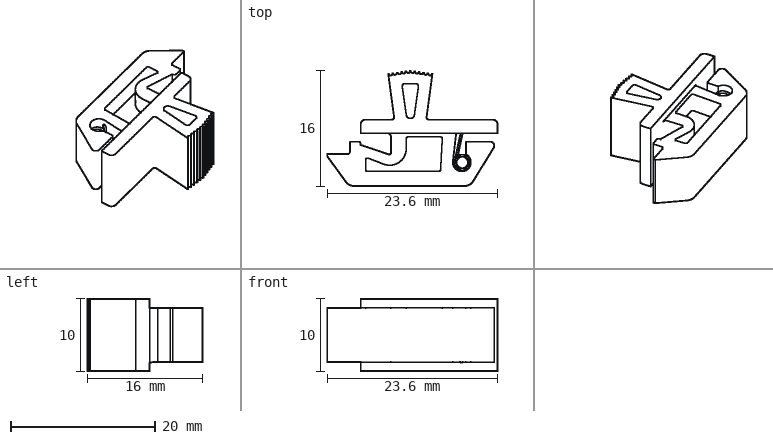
import cadquery as cq
import math

total_length = 23.65
total_depth = 16.0
plate_thickness = 10.0
base_thickness = 7.5

plate_left = 4.64
plate_front = 7.33
plate_back = 9.25
plate_corner_radius = 0.7

shoulder_y = 4.47
nose_bottom_y = 4.16
step_x = 3.15
step_top_y = 6.2
ramp_start_y = 5.75
ramp_end_y = 4.33
neck_x = 8.85
foot_left_x = 3.03
foot_right_x = 19.85
foot_radius = 1.5
heel_radius = 0.6
root_radius = 0.47
soft_radius = 0.3
sharp_radius = 0.21
root_overlap = 0.7

slot_x = 18.68
slot_y = 3.3
slot_radius = 1.23
slot_right_x = 19.23
slot_wall_angle = math.radians(6.6)

pocket_depth = 2.84
pocket_left = 5.35
pocket_bottom = 2.05
pocket_top = 6.83
pocket_step_x = 10.97
pocket_right_bottom = 15.73
pocket_right_top = 15.99
pocket_slope_start_y = 4.02
pocket_slope = math.radians(21)
pocket_radius = 0.25
pocket_bend_radius = 2.3

head_x = 11.55
head_root_half_width = 2.22
head_side_angle = math.radians(7.7)
ridge_slope_angle = math.radians(8.0)
gaps_per_slope = 5
tooth_pitch = 0.61
gap_radius = 0.24
gap_inset = 0.02

recess_top = 14.24
recess_half_width = 1.18
recess_side_angle = math.radians(8.1)
recess_top_radius = 0.38
recess_tip_radius = 0.57

coil_x = 18.75
coil_y = 3.29
coil_radius = 0.95
wire_radius = 0.154
coil_turns = 6
coil_top_z = 3.15
coil_bottom_z = -3.03
leg_angle = 168


def rounded_outline(corners):
    """Closed outline through (x, y, radius) corners, each rounded by a tangent arc."""
    points = [cq.Vector(x, y) for x, y, _ in corners]
    start = (points[-1] + points[0]) * 0.5
    outline = cq.Workplane("XY").moveTo(start.x, start.y)
    for i, (_, _, radius) in enumerate(corners):
        corner = points[i]
        to_last = (points[i - 1] - corner).normalized()
        to_next = (points[(i + 1) % len(points)] - corner).normalized()
        half_angle = to_last.getAngle(to_next) / 2
        setback = radius / math.tan(half_angle)
        arc_start = corner + to_last * setback
        outline = outline.lineTo(arc_start.x, arc_start.y)
        if radius > 0:
            bisector = (to_last + to_next).normalized()
            arc_middle = corner + bisector * (radius / math.sin(half_angle) - radius)
            arc_end = corner + to_next * setback
            outline = outline.threePointArc((arc_middle.x, arc_middle.y), (arc_end.x, arc_end.y))
    return outline.close()


def centred_slab(corners, thickness):
    return rounded_outline(corners).extrude(thickness / 2, both=True)


def top_pocket(corners, top_z, depth):
    return rounded_outline(corners).extrude(depth).translate((0, 0, top_z - depth))


def make_plate():
    return centred_slab(
        [
            (plate_left, plate_front, 0),
            (total_length, plate_front, 0),
            (total_length, plate_back, plate_corner_radius),
            (plate_left, plate_back, plate_corner_radius),
        ],
        plate_thickness,
    )


def make_base():
    wall_start_x = slot_x - slot_radius * math.cos(slot_wall_angle)
    wall_start_y = slot_y + slot_radius * math.sin(slot_wall_angle)
    wall_end_x = wall_start_x + (plate_front - wall_start_y) * math.tan(slot_wall_angle)
    root_y = plate_front + root_overlap
    base = centred_slab(
        [
            (0, shoulder_y, 0),
            (0, nose_bottom_y, 0),
            (foot_left_x, 0, foot_radius),
            (foot_right_x, 0, foot_radius),
            (total_length, step_top_y, heel_radius),
            (slot_right_x, step_top_y, sharp_radius),
            (slot_right_x, slot_y, 0),
            (wall_start_x, wall_start_y, 0),
            (wall_end_x, plate_front, sharp_radius),
            (wall_end_x + root_overlap, plate_front, 0),
            (wall_end_x + root_overlap, root_y, 0),
            (neck_x - root_overlap, root_y, 0),
            (neck_x - root_overlap, plate_front, 0),
            (neck_x, plate_front, root_radius),
            (neck_x, ramp_end_y, sharp_radius),
            (plate_left, ramp_start_y, 0),
            (plate_left, step_top_y, soft_radius),
            (step_x, step_top_y, sharp_radius),
            (step_x, shoulder_y, soft_radius),
        ],
        base_thickness,
    )
    slot_end = (
        cq.Workplane("XY").center(slot_x, slot_y).circle(slot_radius).extrude(base_thickness / 2, both=True)
    )
    return base.cut(slot_end).cut(make_base_pocket())


def make_base_pocket():
    bend_y = pocket_slope_start_y - (pocket_step_x - pocket_left) * math.tan(pocket_slope)
    return top_pocket(
        [
            (pocket_left, pocket_bottom, pocket_radius),
            (pocket_right_bottom, pocket_bottom, pocket_radius),
            (pocket_right_top, pocket_top, pocket_radius),
            (pocket_step_x, pocket_top, pocket_radius),
            (pocket_step_x, bend_y, pocket_bend_radius),
            (pocket_left, pocket_slope_start_y, pocket_radius),
        ],
        base_thickness / 2,
        pocket_depth,
    )


def make_head():
    side_slope = math.tan(head_side_angle)
    ridge_slope = math.tan(ridge_slope_angle)
    ridge_height = total_depth - plate_back
    top_half_width = (head_root_half_width + ridge_height * side_slope) / (1 + ridge_slope * side_slope)
    top_y = total_depth - top_half_width * ridge_slope
    flare_half_width = head_root_half_width + root_overlap
    right_side = [
        (flare_half_width, plate_back - root_overlap, 0),
        (flare_half_width, plate_back, 0),
        (head_root_half_width, plate_back, soft_radius),
        (top_half_width, top_y, 0),
    ]
    left_side = [(-x, y, radius) for x, y, radius in reversed(right_side)]
    profile = right_side + [(0, total_depth, 0)] + left_side
    head = centred_slab([(head_x + x, y, radius) for x, y, radius in profile], plate_thickness)
    return head.cut(make_tooth_gaps()).cut(make_recess())


def make_tooth_gaps():
    centers = []
    for i in range(gaps_per_slope):
        along_slope = (i + 0.5) * tooth_pitch
        x_offset = along_slope * math.cos(ridge_slope_angle)
        y = total_depth - gap_inset - along_slope * math.sin(ridge_slope_angle)
        centers += [(head_x - x_offset, y), (head_x + x_offset, y)]
    return cq.Workplane("XY").pushPoints(centers).circle(gap_radius).extrude(plate_thickness / 2, both=True)


def make_recess():
    tip_y = recess_top - recess_half_width / math.tan(recess_side_angle)
    return top_pocket(
        [
            (head_x, tip_y, recess_tip_radius),
            (head_x + recess_half_width, recess_top, recess_top_radius),
            (head_x - recess_half_width, recess_top, recess_top_radius),
        ],
        plate_thickness / 2,
        pocket_depth,
    )


def make_clamp():
    return make_plate().union(make_base()).union(make_head())


def make_spring():
    height = coil_top_z - coil_bottom_z
    pitch = height / coil_turns
    helix = cq.Wire.makeHelix(pitch, height, coil_radius)
    start = cq.Vector(coil_radius, 0, 0)
    leg_direction = cq.Vector(0, -2 * math.pi * coil_radius, -pitch).normalized()
    wire_end = cq.Plane(origin=start, normal=leg_direction)
    coil = cq.Workplane(wire_end).circle(wire_radius).sweep(cq.Workplane(helix), isFrenet=True)
    leg = cq.Workplane(wire_end).circle(wire_radius).extrude(plate_front)
    spring = coil.union(leg)
    spring = spring.rotate((0, 0, 0), (0, 0, 1), leg_angle).translate((coil_x, coil_y, coil_bottom_z))
    beyond_plate_face = (
        cq.Workplane("XY")
        .box(total_length, plate_front, plate_thickness, centered=(False, False, True))
        .translate((0, plate_front, 0))
    )
    return spring.cut(beyond_plate_face)


clamp = make_clamp().solids()
spring = make_spring().solids()
result = cq.Compound.makeCompound([clamp.val(), spring.val()])